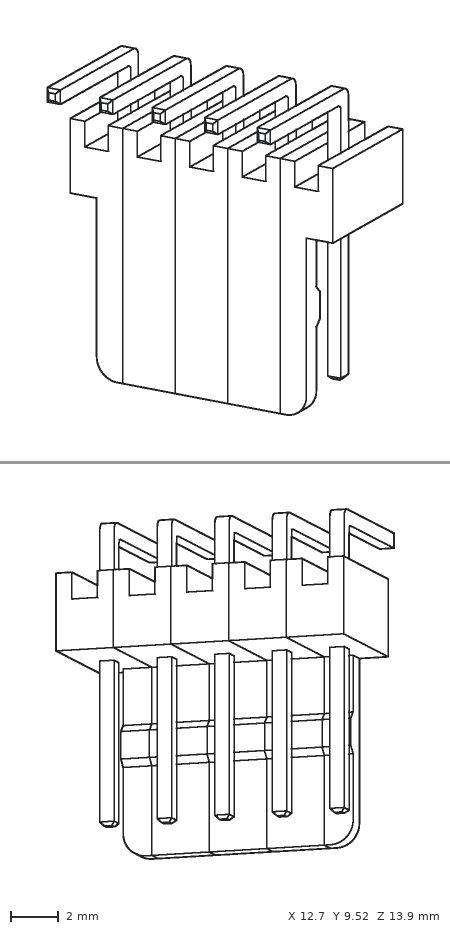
import cadquery as cq


module_count = 5
row_width = 12.7
pitch = row_width / module_count
row_center = (module_count - 1) / 2

block_depth = 5.82
block_bottom = 7.99
block_height = 3.31
slot_width = 1.13
slot_depth = 1.14

wall_thickness = 0.83
wall_corner_radius = 1.0
latch_height = 0.3
latch_bottom = 3.81
latch_length = 1.78

pin_width = 0.64
pin_center_y = 2.63
pin_bottom = 1.0
pin_top = 13.9
pin_overhang = 3.7
tip_chamfer = 0.15
bend_inner_radius = 0.21
bend_outer_radius = 0.4


def make_block():
    """Block one pitch wide, with an open slot along Y in its top."""
    block = cq.Workplane("XY").box(pitch, block_depth, block_height, centered=(True, False, False))
    slot = (
        cq.Workplane("XY")
        .workplane(offset=block_height - slot_depth)
        .box(slot_width, block_depth, slot_depth, centered=(True, False, False))
    )
    return block.cut(slot).translate((0, 0, block_bottom))


def make_wall(x_start, x_end):
    """Wall below the block, with a latch ridge of 45 degree flanks on its back face."""
    ridge_y = wall_thickness + latch_height
    latch_top = latch_bottom + latch_length
    return (
        cq.Workplane("YZ", origin=(x_start, 0, 0))
        .polyline([
            (0, 0),
            (wall_thickness, 0),
            (wall_thickness, latch_bottom),
            (ridge_y, latch_bottom + latch_height),
            (ridge_y, latch_top - latch_height),
            (wall_thickness, latch_top),
            (wall_thickness, block_bottom),
            (0, block_bottom),
        ])
        .close()
        .extrude(x_end - x_start)
    )


def make_pin():
    """Square pin rising through the block and bent forward above it, with chamfered tips."""
    front_y = pin_center_y - pin_width / 2
    back_y = pin_center_y + pin_width / 2
    arm_bottom = pin_top - pin_width
    arm_center_z = pin_top - pin_width / 2
    pin = (
        cq.Workplane("YZ")
        .polyline([
            (front_y, pin_bottom),
            (back_y, pin_bottom),
            (back_y, pin_top),
            (-pin_overhang, pin_top),
            (-pin_overhang, arm_bottom),
            (front_y, arm_bottom),
        ])
        .close()
        .extrude(pin_width / 2, both=True)
    )
    inner_corner = cq.selectors.NearestToPointSelector((0, front_y, arm_bottom))
    outer_corner = cq.selectors.NearestToPointSelector((0, back_y, pin_top))
    lower_tip = cq.selectors.NearestToPointSelector((0, pin_center_y, pin_bottom))
    front_tip = cq.selectors.NearestToPointSelector((0, -pin_overhang, arm_center_z))
    pin = pin.edges("|X").edges(inner_corner).fillet(bend_inner_radius)
    pin = pin.edges("|X").edges(outer_corner).fillet(bend_outer_radius)
    pin = pin.faces(lower_tip).chamfer(tip_chamfer)
    return pin.faces(front_tip).chamfer(tip_chamfer)


def make_middle_module():
    """Module whose wall spans the whole pitch."""
    wall = make_wall(-pitch / 2, pitch / 2)
    return make_block().union(wall).union(make_pin())


def make_left_end_module():
    """Module whose wall stops at the pin's centre plane, with its outer bottom corner rounded."""
    wall = make_wall(0, pitch / 2).edges("|Y and <X").edges("<Z").fillet(wall_corner_radius)
    return make_block().union(wall).union(make_pin())


def make_right_end_module():
    """Mirror image of the left end module."""
    return make_left_end_module().mirror("YZ")


def module_x(index):
    """Centre of a module along the row, with the row centred on X = 0."""
    return (index - row_center) * pitch


last_index = module_count - 1
left_end_module = make_left_end_module().translate((module_x(0), 0, 0))
middle_modules = [
    make_middle_module().translate((module_x(index), 0, 0))
    for index in range(1, last_index)
]
right_end_module = make_right_end_module().translate((module_x(last_index), 0, 0))

result = cq.Compound.makeCompound([
    left_end_module.val(),
    *[module.val() for module in middle_modules],
    right_end_module.val(),
])